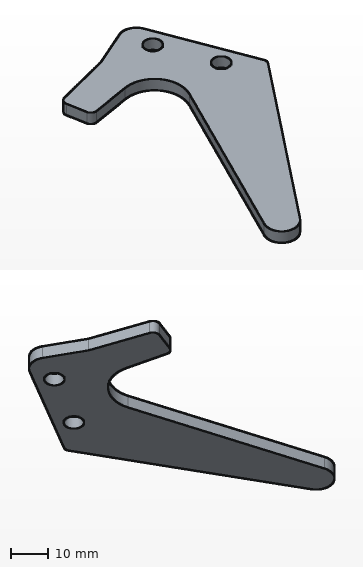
import cadquery as cq
import math

THICKNESS = 4.0

HOLE_DIAMETER = 5.5
HOLE_SPACING = 20.0
FIRST_HOLE_X = 10.0
HOLE_DROP = 5.6

THROAT_RADIUS = 10.0
THROAT_CENTER = (FIRST_HOLE_X + HOLE_SPACING / 2, -28.2)
TIP_RADIUS = 5.0
TIP_CENTER = (71.3, -62.0)

BEND_DROP = 17.9
FINGER_LENGTH = 20.2
FINGER_OUTER_ANGLE = 10.0
FINGER_INNER_ANGLE = 15.0

ARM_ANGLE = 30.0

TOP_LEFT_RADIUS = 5.0
TOP_RIGHT_RADIUS = 2.0
FINGER_CORNER_RADIUS = 2.0


def along(point, angle, distance):
    """Point reached from `point` by going `distance` at `angle` degrees from +X."""
    radians = math.radians(angle)
    return (point[0] + distance * math.cos(radians), point[1] + distance * math.sin(radians))


def crossing(point_a, angle_a, point_b, angle_b):
    """Intersection of two lines, each given by a point and a direction in degrees."""
    a, b = math.radians(angle_a), math.radians(angle_b)
    dx, dy = point_b[0] - point_a[0], point_b[1] - point_a[1]
    distance = (dx * math.sin(b) - dy * math.cos(b)) / math.sin(b - a)
    return along(point_a, angle_a, distance)


finger_outer_direction = -90 - FINGER_OUTER_ANGLE
finger_end_direction = -FINGER_OUTER_ANGLE
finger_inner_direction = 90 - FINGER_INNER_ANGLE
arm_outer_direction = -90 + ARM_ANGLE

center_dx = TIP_CENTER[0] - THROAT_CENTER[0]
center_dy = TIP_CENTER[1] - THROAT_CENTER[1]
center_direction = math.degrees(math.atan2(center_dy, center_dx))
tangent_ratio = (THROAT_RADIUS + TIP_RADIUS) / math.hypot(center_dx, center_dy)
arm_inner_direction = center_direction - math.degrees(math.asin(tangent_ratio))

throat_finger_point = along(THROAT_CENTER, finger_inner_direction + 90, THROAT_RADIUS)
throat_arm_point = along(THROAT_CENTER, arm_inner_direction + 90, THROAT_RADIUS)
tip_outer_point = along(TIP_CENTER, arm_outer_direction + 90, TIP_RADIUS)

top_left = (0.0, 0.0)
top_right = crossing(top_left, 0, tip_outer_point, arm_outer_direction)
tip = crossing(tip_outer_point, arm_outer_direction, throat_arm_point, arm_inner_direction)
throat = crossing(
    throat_arm_point, arm_inner_direction, throat_finger_point, finger_inner_direction
)
bend = (0.0, -BEND_DROP)
finger_outer = along(bend, finger_outer_direction, FINGER_LENGTH)
finger_inner = crossing(
    finger_outer, finger_end_direction, throat_finger_point, finger_inner_direction
)

corner_radii = [
    (top_left, TOP_LEFT_RADIUS),
    (top_right, TOP_RIGHT_RADIUS),
    (tip, TIP_RADIUS),
    (throat, THROAT_RADIUS),
    (finger_inner, FINGER_CORNER_RADIUS),
    (finger_outer, FINGER_CORNER_RADIUS),
]

outline = [corner for corner, _ in corner_radii] + [bend]
plate = cq.Workplane("XY").polyline(outline).close().extrude(THICKNESS)
for corner, radius in corner_radii:
    edge_middle = (corner[0], corner[1], THICKNESS / 2)
    plate = plate.edges(cq.selectors.NearestToPointSelector(edge_middle)).fillet(radius)

hole_centers = [(FIRST_HOLE_X + i * HOLE_SPACING, -HOLE_DROP) for i in range(2)]
holes = cq.Workplane("XY").pushPoints(hole_centers).circle(HOLE_DIAMETER / 2).extrude(THICKNESS)

result = plate.cut(holes)